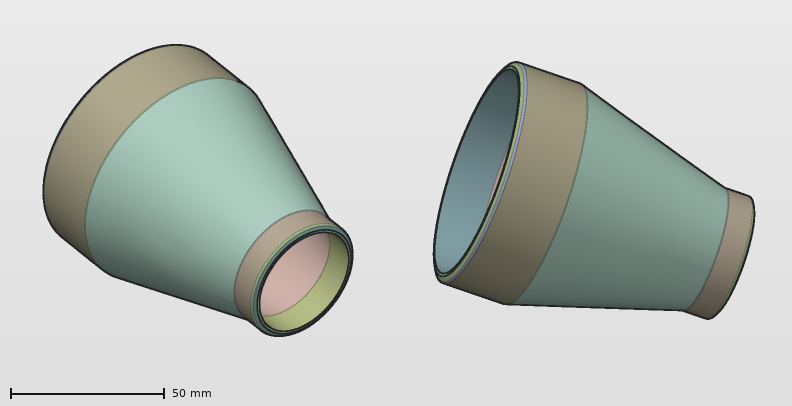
import cadquery as cq
import math

total_length = 90.0
large_outer_radius = 76.1 / 2
large_bore_radius = 70.3 / 2
small_outer_radius = 42.4 / 2
small_bore_radius = 37.2 / 2
large_collar_length = 23.0
large_bore_length = 15.0
small_collar_length = 10.0

land_width = 1.0
bevel_angle = math.radians(30)
edge_radius = 1.0

cone_end = total_length - small_collar_length
large_land_radius = large_bore_radius + land_width
small_land_radius = small_bore_radius + land_width
large_bevel_length = (large_outer_radius - large_land_radius) * math.tan(bevel_angle)
small_bevel_length = (small_outer_radius - small_land_radius) * math.tan(bevel_angle)


def revolve_profile(points):
    """Revolve a closed profile of (axial position, radius) points about the X axis."""
    return cq.Workplane("XY").polyline(points).close().revolve(360, (0, 0, 0), (1, 0, 0))


outer_body = revolve_profile([
    (0, 0),
    (0, large_land_radius),
    (large_bevel_length, large_outer_radius),
    (large_collar_length, large_outer_radius),
    (cone_end, small_outer_radius),
    (total_length - small_bevel_length, small_outer_radius),
    (total_length, small_land_radius),
    (total_length, 0),
])

outer_body = outer_body.edges(
    cq.selectors.BoxSelector(
        (large_bevel_length / 2, -large_outer_radius, -large_outer_radius),
        (total_length - small_bevel_length / 2, large_outer_radius, large_outer_radius),
        boundingbox=False,
    )
).edges("%CIRCLE").fillet(edge_radius)

bore = revolve_profile([
    (0, 0),
    (0, large_bore_radius),
    (large_bore_length, large_bore_radius),
    (cone_end, small_bore_radius),
    (total_length, small_bore_radius),
    (total_length, 0),
])

result = outer_body.cut(bore)